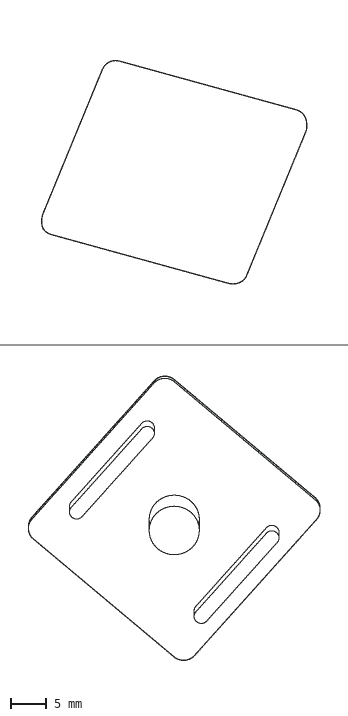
import cadquery as cq

plate_side = 30.0
plate_thickness = 3.0
edge_radius = 2.0

boss_diameter = 7.0
boss_height = 6.0

rail_length = 17.0
rail_width = 2.0
rail_height = 3.0
rail_offset = 11.5


def make_plate():
    """Plate with rounded upright corners and a rounded top rim."""
    block = cq.Workplane("XY").box(
        plate_side, plate_side, plate_thickness, centered=(True, True, False)
    )
    return block.edges("|Z or >Z").fillet(edge_radius)


def make_boss():
    """Solid cylinder hanging from the underside of the plate."""
    return cq.Workplane("XY").circle(boss_diameter / 2).extrude(-boss_height)


def make_rails():
    """Pair of rails placed symmetrically about the YZ plane."""
    return (
        cq.Workplane("XY")
        .pushPoints([(-rail_offset, 0), (rail_offset, 0)])
        .slot2D(rail_length, rail_width, angle=90)
        .extrude(-rail_height)
    )


result = make_plate().union(make_boss()).union(make_rails())